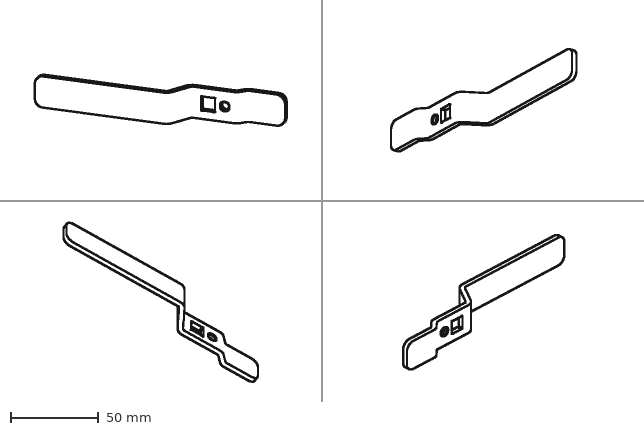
import cadquery as cq
import math

length = 145.0
width = 19.0
thickness = 3.175
end_corner_radius = 5.0

inner_bend_radius = 2.0
outer_bend_radius = inner_bend_radius + thickness
main_joggle_start = 78.4
main_joggle_offset = 15.0
main_joggle_angle = 60.0
tip_joggle_start = 115.5
tip_joggle_offset = 5.0
tip_joggle_angle = 45.0

square_x = 100.0
square_size = 8.5
relief_radius = 0.6
relief_depth = 0.2

round_hole_x = 110.2
round_hole_diameter = 4.8
round_hole_chamfer = 0.6


def joggle_corners(start, offset, angle, base_y):
    """Sharp corner points of one joggle on the front face of the strip."""
    setback = outer_bend_radius * math.tan(math.radians(angle / 2))
    run = offset / math.tan(math.radians(angle))
    return [(start + setback, base_y), (start + setback + run, base_y + offset)]


def back_corners(corners, angle):
    """The same corner points carried through the thickness to the back face."""
    shift = thickness * math.tan(math.radians(angle / 2))
    return [(x - shift, y + thickness) for x, y in corners]


def round_bend(strip, corner, radius):
    """Fillet the bend edge standing at one sharp corner point."""
    x, y = corner
    edge = cq.selectors.NearestToPointSelector((x, y, 0))
    return strip.edges("|Z").edges(edge).fillet(radius)


def bent_strip():
    main_front = joggle_corners(main_joggle_start, main_joggle_offset, main_joggle_angle, 0)
    tip_front = joggle_corners(tip_joggle_start, tip_joggle_offset, tip_joggle_angle, main_joggle_offset)
    main_back = back_corners(main_front, main_joggle_angle)
    tip_back = back_corners(tip_front, tip_joggle_angle)
    tip_y = main_joggle_offset + tip_joggle_offset
    front_face = [(0, 0), *main_front, *tip_front, (length, tip_y)]
    back_face = [(0, thickness), *main_back, *tip_back, (length, tip_y + thickness)]
    outline = front_face + back_face[::-1]
    strip = cq.Workplane("XY").polyline(outline).close().extrude(width / 2, both=True)
    for front, back in ((main_front, main_back), (tip_front, tip_back)):
        strip = round_bend(strip, front[0], outer_bend_radius)
        strip = round_bend(strip, back[0], inner_bend_radius)
        strip = round_bend(strip, front[1], inner_bend_radius)
        strip = round_bend(strip, back[1], outer_bend_radius)
    return strip


def round_ends(strip):
    return strip.edges("|Y").edges("<X or >X").fillet(end_corner_radius)


def through_middle_flat():
    """Sketch plane on the front of the middle flat; cutters extrude toward +Y."""
    return cq.Workplane("XZ", origin=(0, main_joggle_offset, 0))


def square_cutter():
    half = square_size / 2
    relief_x = half - relief_radius
    relief_z = half + relief_depth - relief_radius
    reliefs = [(square_x + i * relief_x, j * relief_z) for i in (-1, 1) for j in (-1, 1)]
    square = through_middle_flat().center(square_x, 0).rect(square_size, square_size).extrude(-thickness)
    relief = through_middle_flat().pushPoints(reliefs).circle(relief_radius).extrude(-thickness)
    return square.union(relief)


def round_hole_cutter():
    radius = round_hole_diameter / 2
    mouth_radius = radius + round_hole_chamfer
    half_section = [
        (0, 0),
        (mouth_radius, 0),
        (radius, round_hole_chamfer),
        (radius, thickness - round_hole_chamfer),
        (mouth_radius, thickness),
        (0, thickness),
    ]
    hole_origin = (round_hole_x, main_joggle_offset, 0)
    profile = cq.Workplane("XY", origin=hole_origin).polyline(half_section).close()
    return profile.revolve(360, (0, 0), (0, 1))


result = round_ends(bent_strip()).cut(square_cutter()).cut(round_hole_cutter())